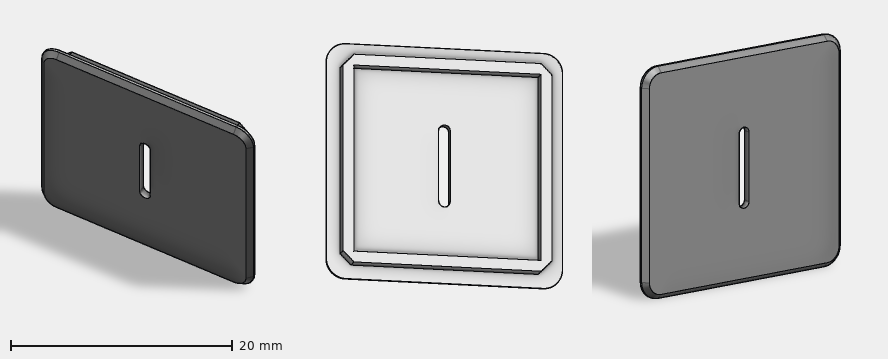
import cadquery as cq

plate_side = 21.85
plate_thickness = 0.75
plate_corner_radius = 1.8
bevel_width = 0.5
bevel_depth = 0.5

total_depth = 2.03
rim_side = 19.3
rim_corner_cut = 1.0
rim_wall = 1.0
rim_depth = total_depth - plate_thickness

slot_length = 7.6
slot_width = 1.07


def make_plate():
    """Rounded square plate with a bevelled front rim."""
    plate = (
        cq.Workplane("XZ")
        .rect(plate_side, plate_side)
        .extrude(-plate_thickness)
        .edges("|Y")
        .fillet(plate_corner_radius)
    )
    return plate.faces("<Y").chamfer(bevel_depth, bevel_width)


def make_rim():
    """Square rim with cut outer corners, standing on the back of the plate."""
    back_face = cq.Workplane("XZ", origin=(0, plate_thickness, 0))
    block = (
        back_face.rect(rim_side, rim_side)
        .extrude(-rim_depth)
        .edges("|Y")
        .chamfer(rim_corner_cut)
    )
    opening_side = rim_side - 2 * rim_wall
    opening = back_face.rect(opening_side, opening_side).extrude(-rim_depth)
    return block.cut(opening)


def make_slot():
    """Round-ended cutter running the full thickness of the plate."""
    return cq.Workplane("XZ").slot2D(slot_length, slot_width, 90).extrude(-plate_thickness)


result = make_plate().union(make_rim()).cut(make_slot())